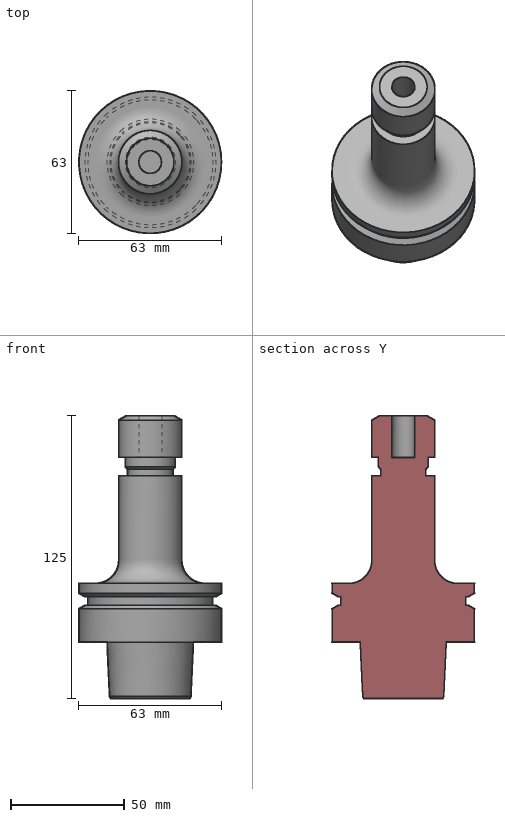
import cadquery as cq

total_height = 125.0

shank_height = 25.0
shank_top_radius = 19.1
shank_end_radius = 18.0
shank_chamfer_width = 0.5
shank_chamfer_height = 1.0

flange_radius = 31.5
flange_top = 51.0
groove_radius = 27.6
groove_bevel_radius = 28.9
groove_bevel_height = 1.5
groove_lower_rim = 39.8
groove_upper_rim = 46.5
groove_floor_bottom = groove_lower_rim + groove_bevel_height
groove_floor_top = groove_upper_rim - groove_bevel_height

stem_radius = 14.0
stem_top = 98.5
stem_fillet = 10.0

neck_radius = 10.1
neck_top = 101.4
collar_radius = 11.1
collar_bottom = 102.4

nut_radius = stem_radius
nut_bottom = 106.5
nut_top_radius = 10.5
nut_chamfer_height = 2.0
bore_diameter = 10.0
bore_depth = total_height - nut_bottom


def revolved_body():
    """Half profile in the XZ plane, turned about the Z axis."""
    profile = (
        cq.Workplane("XZ")
        .moveTo(0, 0)
        .lineTo(shank_end_radius - shank_chamfer_width, 0)
        .lineTo(shank_end_radius, shank_chamfer_height)
        .lineTo(shank_top_radius, shank_height)
        .lineTo(flange_radius, shank_height)
        .lineTo(flange_radius, groove_lower_rim)
        .lineTo(groove_bevel_radius, groove_floor_bottom)
        .lineTo(groove_radius, groove_floor_bottom)
        .lineTo(groove_radius, groove_floor_top)
        .lineTo(groove_bevel_radius, groove_floor_top)
        .lineTo(flange_radius, groove_upper_rim)
        .lineTo(flange_radius, flange_top)
        .lineTo(stem_radius + stem_fillet, flange_top)
        .radiusArc((stem_radius, flange_top + stem_fillet), stem_fillet)
        .lineTo(stem_radius, stem_top)
        .lineTo(neck_radius, stem_top)
        .lineTo(neck_radius, neck_top)
        .lineTo(collar_radius, collar_bottom)
        .lineTo(collar_radius, nut_bottom)
        .lineTo(nut_radius, nut_bottom)
        .lineTo(nut_radius, total_height - nut_chamfer_height)
        .lineTo(nut_top_radius, total_height)
        .lineTo(0, total_height)
        .close()
    )
    return profile.revolve(360, (0, 0), (0, 1))


def bore():
    return (
        cq.Workplane("XY", origin=(0, 0, total_height - bore_depth))
        .circle(bore_diameter / 2)
        .extrude(bore_depth)
    )


result = revolved_body().cut(bore())